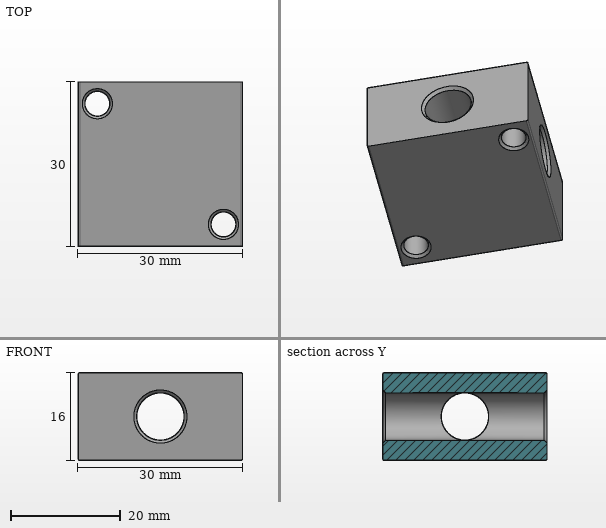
import cadquery as cq

LENGTH_X = 30.0
LENGTH_Y = 30.0
HEIGHT = 16.0
EDGE_RADIUS = 0.3

PORT_DIAMETER = 8.6
PORT_MOUTH_DIAMETER = 9.7

MOUNT_DIAMETER = 4.5
MOUNT_MOUTH_DIAMETER = 5.5
MOUNT_X = 11.5
MOUNT_Y = 11.0


def make_block():
    """Block centred on the origin, rounded along its four Y edges."""
    return cq.Workplane("XY").box(LENGTH_X, LENGTH_Y, HEIGHT).edges("|Y").fillet(EDGE_RADIUS)


def through_hole(diameter, mouth_diameter, length):
    """Cutter along Z, centred on the origin, flaring at 45 degrees to the mouth at both ends."""
    radius = diameter / 2
    mouth_radius = mouth_diameter / 2
    half_length = length / 2
    flare_start = half_length - (mouth_radius - radius)
    half_profile = [
        (0, -half_length),
        (mouth_radius, -half_length),
        (radius, -flare_start),
        (radius, flare_start),
        (mouth_radius, half_length),
        (0, half_length),
    ]
    return cq.Workplane("XZ").polyline(half_profile).close().revolve(360, (0, 0), (0, 1))


def cut_ports(body):
    """Cut the two ports that cross at the centre of the block."""
    port_x = through_hole(PORT_DIAMETER, PORT_MOUTH_DIAMETER, LENGTH_X).rotate((0, 0, 0), (0, 1, 0), 90)
    port_y = through_hole(PORT_DIAMETER, PORT_MOUTH_DIAMETER, LENGTH_Y).rotate((0, 0, 0), (1, 0, 0), 90)
    return body.cut(port_x).cut(port_y)


def cut_mounting_holes(body):
    """Cut the two mounting holes on the diagonal of the block."""
    hole = through_hole(MOUNT_DIAMETER, MOUNT_MOUTH_DIAMETER, HEIGHT)
    for side in (-1, 1):
        body = body.cut(hole.translate((side * MOUNT_X, -side * MOUNT_Y, 0)))
    return body


result = cut_mounting_holes(cut_ports(make_block()))